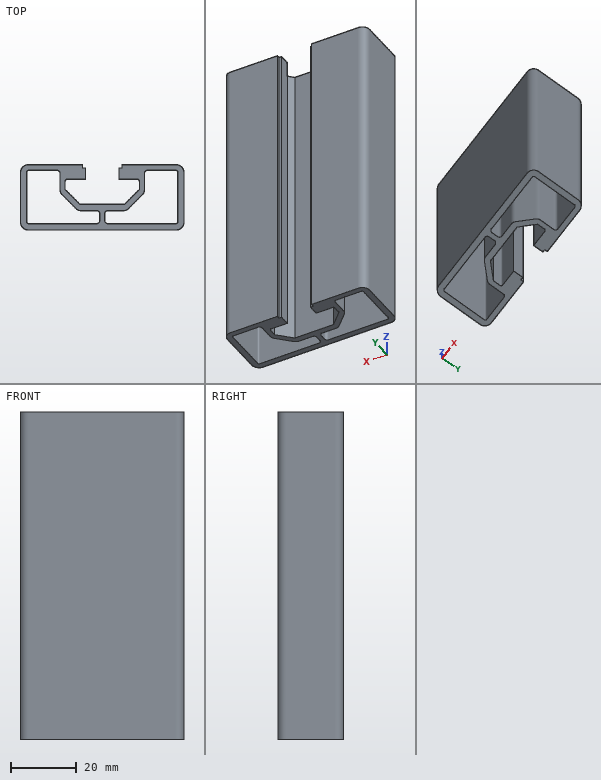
import cadquery as cq
import math

width = 50.0
depth = 20.0
length = 100.0
corner_radius = 2.5

side_wall = 2.0
back_wall = 2.0
front_wall = 1.8
channel_wall = 1.6
flank_wall = 1.8
channel_floor_wall = 2.0
web_thickness = 1.6

mouth_width = 10.2
mouth_step_width = 12.0
mouth_step_depth = 1.0
lip_thickness = 4.5
channel_width = 22.6
channel_floor_width = 13.6
channel_depth = 12.1
inner_radius = 0.9
lip_root_radius = 0.6
chamber_radius = 0.5
bend_radius = 1.8

front_y = depth / 2
back_y = -depth / 2
floor_y = front_y - channel_depth
under_floor_y = floor_y - channel_floor_wall
lip_y = front_y - lip_thickness


def outer_body():
    return cq.Workplane("XY").box(width, depth, length).edges("|Z").fillet(corner_radius)


def prism(points):
    """Extrude a closed section through the full length."""
    return cq.Workplane("XY").workplane(offset=-length / 2).polyline(points).close().extrude(length)


def round_edges(body, corners, radius):
    """Round the lengthwise edges that pass through the given section corners."""
    for x, y in corners:
        body = body.edges(cq.selectors.NearestToPointSelector((x, y, 0))).fillet(radius)
    return body


def slot_channel():
    """T-slot with a stepped mouth and 45-degree flanks down to a flat floor."""
    half_width = channel_width / 2
    half_floor = channel_floor_width / 2
    flank_top_y = floor_y + half_width - half_floor
    shoulders = [(-half_width, lip_y), (half_width, lip_y)]
    cavity = prism(
        shoulders
        + [
            (half_width, flank_top_y),
            (half_floor, floor_y),
            (-half_floor, floor_y),
            (-half_width, flank_top_y),
        ]
    )
    cavity = round_edges(cavity, shoulders, lip_root_radius)
    mouth = cq.Workplane("XY").box(mouth_width, lip_thickness, length)
    mouth = mouth.translate((0, front_y - lip_thickness / 2, 0))
    step = cq.Workplane("XY").box(mouth_step_width, mouth_step_depth, length)
    step = step.translate((0, front_y - mouth_step_depth / 2, 0))
    return cavity.union(mouth).union(step)


def side_chamber():
    """Hollow on the +X side, between the outer walls, the channel and the web."""
    outer_x = width / 2 - side_wall
    channel_x = channel_width / 2 + channel_wall
    web_x = web_thickness / 2
    floor_x = channel_floor_width / 2 + flank_wall * math.sqrt(2) - channel_floor_wall
    chamber_front_y = front_y - front_wall
    chamber_back_y = back_y + back_wall
    flank_top_y = under_floor_y + channel_x - floor_x

    side_corners = [(outer_x, chamber_back_y), (outer_x, chamber_front_y)]
    channel_root = (channel_x, chamber_front_y)
    bends = [(channel_x, flank_top_y), (floor_x, under_floor_y)]
    web_roots = [(web_x, under_floor_y), (web_x, chamber_back_y)]
    chamber = prism(side_corners + [channel_root] + bends + web_roots)
    chamber = round_edges(chamber, side_corners, chamber_radius)
    chamber = round_edges(chamber, bends, bend_radius)
    return round_edges(chamber, [channel_root] + web_roots, inner_radius)


chamber = side_chamber()
result = outer_body().cut(slot_channel()).cut(chamber).cut(chamber.mirror("YZ"))